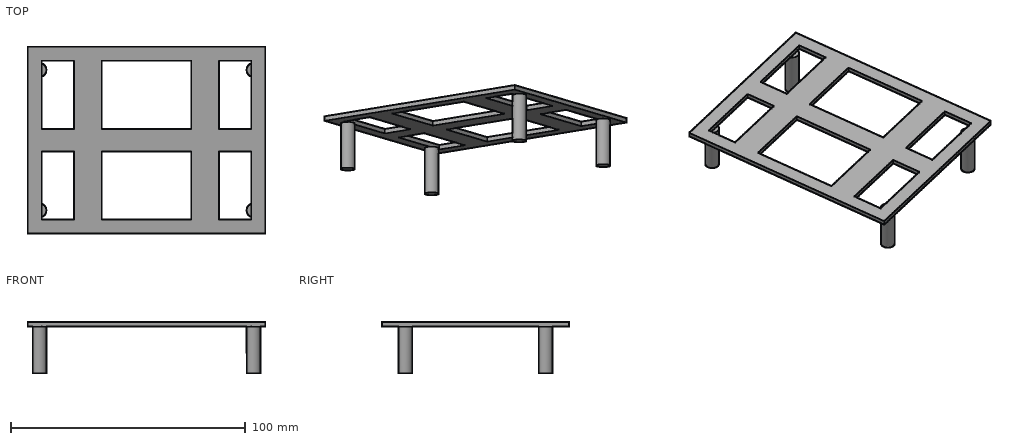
import cadquery as cq

plate_length = 101.5
plate_width = 80.0
plate_thickness = 2.0
border = 6.1

side_window_length = 13.6
middle_window_length = 38.2
window_width = 29.0

post_diameter = 6.0
post_height = 20.0
post_spacing_x = 91.5
post_spacing_y = 60.0

side_window_x = plate_length / 2 - border - side_window_length / 2
window_y = plate_width / 2 - border - window_width / 2


def window_cutters(length, centres):
    return (
        cq.Workplane("XY")
        .pushPoints(centres)
        .rect(length, window_width)
        .extrude(plate_thickness)
    )


plate = cq.Workplane("XY").box(
    plate_length, plate_width, plate_thickness, centered=(True, True, False)
)
side_centres = [(x, y) for x in (-side_window_x, side_window_x) for y in (-window_y, window_y)]
middle_centres = [(0, -window_y), (0, window_y)]
plate = plate.cut(window_cutters(side_window_length, side_centres))
plate = plate.cut(window_cutters(middle_window_length, middle_centres))

posts = (
    cq.Workplane("XY")
    .rect(post_spacing_x, post_spacing_y, forConstruction=True)
    .vertices()
    .circle(post_diameter / 2)
    .extrude(-post_height)
)

result = plate.union(posts)